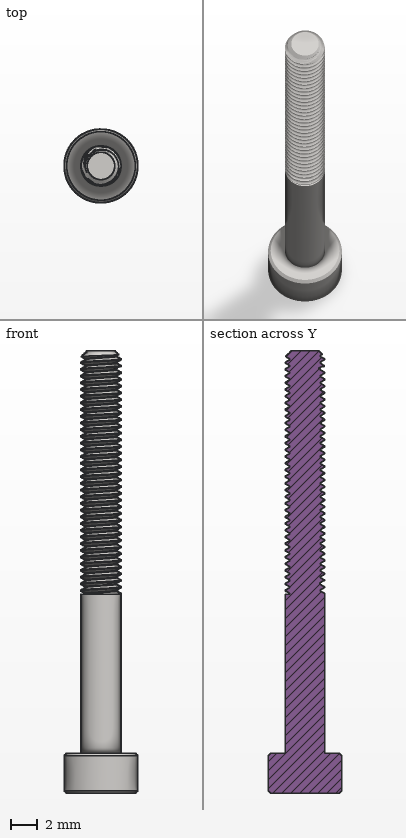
import cadquery as cq
import math

total_length = 33.0
head_diameter = 5.5
head_height = 3.0
head_chamfer = 0.2
shank_diameter = 3.0
thread_length = 18.0
thread_turns = 36
root_diameter = 2.35
tip_diameter = 2.05
thread_runout = 0.15

pitch = thread_length / thread_turns
crest_width = pitch / 8
flank_angle = math.radians(30)
ridge_overlap = 0.03
crest_clearance = 0.003
spare_turns = 1
start_angle = 110.0

shank_radius = shank_diameter / 2
root_radius = root_diameter / 2
thread_bottom = total_length - thread_length


def make_head():
    head = cq.Workplane("XY").circle(head_diameter / 2).extrude(head_height)
    return head.faces("<Z or >Z").chamfer(head_chamfer)


def make_shank():
    shank_length = thread_bottom - thread_runout - head_height
    return cq.Workplane("XY").workplane(offset=head_height).circle(shank_radius).extrude(shank_length)


def make_ridge():
    """Helical ridge running past both ends of the threaded length."""
    inner_radius = root_radius - ridge_overlap
    outer_radius = shank_radius - crest_clearance
    crest_half = crest_width / 2
    base_half = crest_half + (outer_radius - inner_radius) * math.tan(flank_angle)
    ridge_length = pitch * (thread_turns + 2 * spare_turns)
    path = cq.Wire.makeHelix(pitch, ridge_length, root_radius)
    profile = cq.Workplane("XZ").polyline([
        (inner_radius, -base_half),
        (outer_radius, -crest_half),
        (outer_radius, crest_half),
        (inner_radius, base_half),
    ]).close()
    ridge = profile.sweep(cq.Workplane(path), isFrenet=True)
    ridge = ridge.rotate((0, 0, 0), (0, 0, 1), start_angle)
    return ridge.translate((0, 0, thread_bottom - spare_turns * pitch))


def make_tip_cutter():
    """Everything outside the tip chamfer and above the end face."""
    outer_radius = head_diameter / 2
    tip_radius = tip_diameter / 2
    chamfer_bottom = total_length - (outer_radius - tip_radius)
    cutter_top = total_length + (spare_turns + 2) * pitch
    outline = cq.Workplane("XZ").polyline([
        (0, total_length),
        (tip_radius, total_length),
        (outer_radius, chamfer_bottom),
        (outer_radius, cutter_top),
        (0, cutter_top),
    ]).close()
    return outline.revolve(360, (0, 0, 0), (0, 1, 0))


def make_core():
    core_base = cq.Workplane("XY").workplane(offset=head_height)
    return core_base.circle(root_radius).extrude(total_length + pitch - head_height)


threaded_rod = make_core().union(make_ridge()).cut(make_tip_cutter())
result = threaded_rod.union(make_shank()).union(make_head())